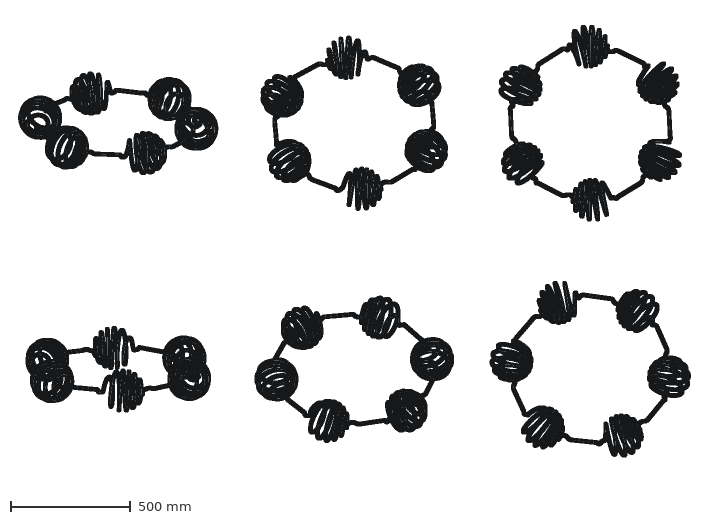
import cadquery as cq
import math

BALL_COUNT = 6
WIRE_RADIUS = 5.7

BALL_CENTRE_RADIUS = 331.0
COIL_RADIUS = 83.0
BALL_HALF_LENGTH = 82.0
FIRST_AXIAL = 63.5
LAST_AXIAL = -76.0
AXIAL_BOW = -10.0
START_TURN = 0.29
TURN_COUNT = 5.26
TURN_LEAN = 0.079
LEAN_PER_UNIT = 0.003473
AXIS_SAG = 0.003114
AXIS_DRIFT = -0.062
POINTS_PER_TURN = 8

LEAVING_HOOK = [
    (-90.0, -307.0, -26.0),
    (-95.0, -329.0, -9.0),
    (-89.0, -316.5, -7.35),
    (-63.0, -316.5, 0.5),
    (-55.0, -326.0, 3.1),
    (-39.0, -330.0, -1.1),
]
ARRIVING_HOOK = [
    (65.0, -331.5, 3.6),
    (75.0, -332.0, -6.1),
    (83.0, -326.0, -7.1),
    (83.5, -323.0, -7.5),
    (98.5, -326.5, 26.0),
]

BAR_START = cq.Vector(*LEAVING_HOOK[-1])
BAR_END = cq.Vector(*ARRIVING_HOOK[0])

PITCH_ANGLE = 360 / BALL_COUNT
LEAVING_ANGLE = -PITCH_ANGLE
ARRIVING_ANGLE = -2 * PITCH_ANGLE


def turned(point, degrees):
    """The point turned about the ring axis."""
    x, y, z = point
    c = math.cos(math.radians(degrees))
    s = math.sin(math.radians(degrees))
    return cq.Vector(x * c - y * s, x * s + y * c, z)


def coil_point(progress):
    """Centre of the wire at a progress of 0 to 1 along the coil."""
    bow = AXIAL_BOW * 4 * progress * (1 - progress)
    axial = FIRST_AXIAL + (LAST_AXIAL - FIRST_AXIAL) * progress + bow
    radius = COIL_RADIUS * math.sqrt(max(1 - (axial / BALL_HALF_LENGTH) ** 2, 0))
    angle = 2 * math.pi * (START_TURN + TURN_COUNT * progress)
    lean = TURN_LEAN + LEAN_PER_UNIT * axial
    axis_radius = BALL_CENTRE_RADIUS + AXIS_DRIFT * axial - AXIS_SAG * axial ** 2
    outward = radius * math.cos(angle)
    return cq.Vector(
        -(axis_radius + outward * math.cos(lean)),
        axial + outward * math.sin(lean),
        radius * math.sin(angle),
    )


def ball_wire():
    """Round wire of the -X ball with a hook at each end, from bar to bar."""
    steps = int(TURN_COUNT * POINTS_PER_TURN)
    coil = [coil_point(i / steps) for i in range(steps + 1)]
    arriving = [turned(p, ARRIVING_ANGLE) for p in ARRIVING_HOOK]
    leaving = [turned(p, LEAVING_ANGLE) for p in LEAVING_HOOK]
    bar_direction = (BAR_END - BAR_START).normalized().toTuple()
    start_direction = turned(bar_direction, ARRIVING_ANGLE)
    end_direction = turned(bar_direction, LEAVING_ANGLE)
    coil_start = (coil[1] - arriving[-1]).normalized()
    coil_end = (leaving[0] - coil[-2]).normalized()

    path = cq.Wire.assembleEdges([
        cq.Edge.makeSpline(arriving + coil[:1], tangents=[start_direction, coil_start], scale=False),
        cq.Edge.makeSpline(coil, tangents=[coil_start, coil_end], scale=False),
        cq.Edge.makeSpline(coil[-1:] + leaving, tangents=[coil_end, end_direction], scale=False),
    ])
    section = cq.Workplane(cq.Plane(origin=arriving[0], normal=start_direction))
    return section.circle(WIRE_RADIUS).sweep(cq.Workplane(path)).val()


def straight_bar():
    """Straight bar on the -Y side, joining two balls."""
    bar = BAR_END - BAR_START
    return cq.Solid.makeCylinder(WIRE_RADIUS, bar.Length, BAR_START, bar)


def ring_copies(solid):
    """The solid repeated once per ball around the ring axis."""
    axis_start = cq.Vector(0, 0, 0)
    axis_end = cq.Vector(0, 0, 1)
    return [solid.rotate(axis_start, axis_end, i * PITCH_ANGLE) for i in range(BALL_COUNT)]


def skin(solid):
    """The faces around the wire, without its flat ends."""
    return [face for face in solid.Faces() if face.geomType() != "PLANE"]


tube_faces = []
for piece in (ball_wire(), straight_bar()):
    for copy in ring_copies(piece):
        tube_faces += skin(copy)

result = cq.Workplane(cq.Solid.makeSolid(cq.Shell.makeShell(tube_faces)))